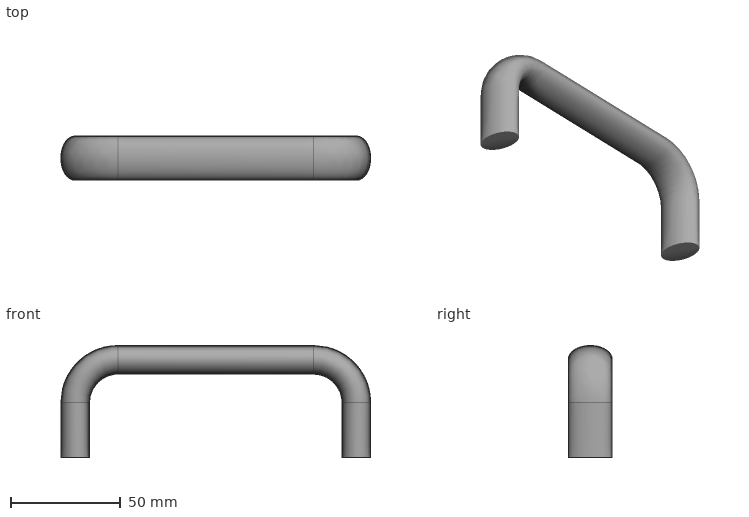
import cadquery as cq

length = 141.0
height = 51.0
bar_width = 20.0
bar_thickness = 13.0
inner_bend_radius = 13.0

bend_radius = inner_bend_radius + bar_thickness / 2
leg_x = (length - bar_thickness) / 2
grip_z = height - bar_thickness / 2
bend_start_z = grip_z - bend_radius
grip_end_x = leg_x - bend_radius

centreline = (
    cq.Workplane("XZ")
    .moveTo(-leg_x, 0)
    .lineTo(-leg_x, bend_start_z)
    .radiusArc((-grip_end_x, grip_z), bend_radius)
    .lineTo(grip_end_x, grip_z)
    .radiusArc((leg_x, bend_start_z), bend_radius)
    .lineTo(leg_x, 0)
)

result = (
    cq.Workplane("XY")
    .center(-leg_x, 0)
    .ellipse(bar_thickness / 2, bar_width / 2)
    .sweep(centreline)
)